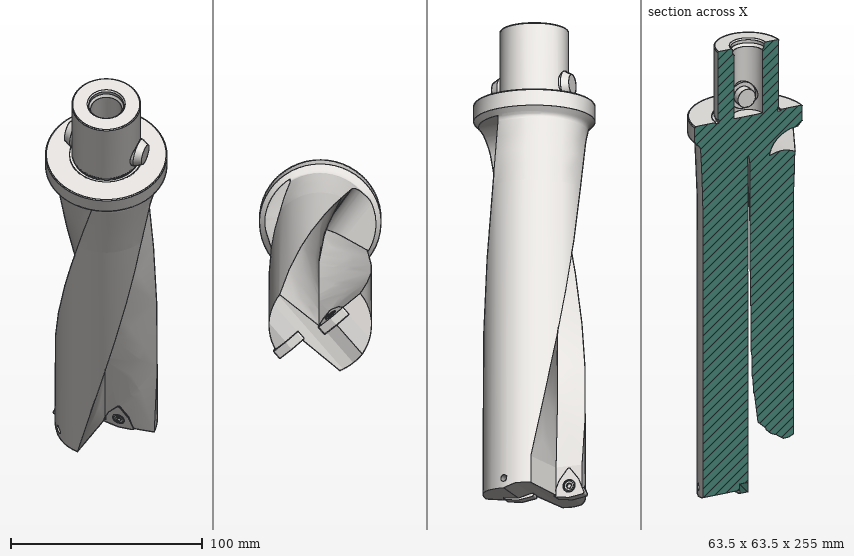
import cadquery as cq
import math

TOTAL_LENGTH = 255
SHANK_LENGTH = 40.0
TIP_Z = SHANK_LENGTH - TOTAL_LENGTH

SHANK_DIAMETER = 36.0
SHANK_RADIUS = SHANK_DIAMETER / 2
SHANK_CHAMFER = 0.5
UNDERCUT_RADIUS = 17.3
UNDERCUT_HEIGHT = 1.0
UNDERCUT_OUTER_RADIUS = 19.0
UNDERCUT_DEPTH = 0.8
FLANGE_DIAMETER = 63.5
FLANGE_RADIUS = FLANGE_DIAMETER / 2
FLANGE_EDGE_CHAMFER = 0.5
FLANGE_RIM_Z = -9.0
FLANGE_BACK_Z = -11.5
FLANGE_BACK_RADIUS = 29.3

NECK_Z = -14.8
NECK_RADIUS = 28
NECK_FILLET_RADIUS = 3.8
CONE_END_Z = -48.0
BODY_RADIUS = 26.8

TIP_LOW_Z = -214.0
TIP_SLOPE_Z = -213.0
TIP_SLOPE_WIDTH = 8.2
TIP_WEB_Z = -212.2
TIP_WEB_WIDTH = 6.5
TIP_SIDE_Z = -213.0
TIP_OUTER_Z = -211.1

BORE_RADIUS = 8.2
BORE_MOUTH_RADIUS = 9.2
BORE_CHAMFER = 0.8
BORE_MOUTH_DEPTH = 2.5
BORE_CONE_DEPTH = 4.0
BORE_BOTTOM_Z = 0

PIN_Z = 9.2
PIN_RADIUS = 7.5
PIN_TIP_RADIUS = 5.4
PIN_CONE_LENGTH = 3.8
PIN_OUTER_X = -21.5
PIN_INNER_X = -0.5
PIN_SCREW_OUTER_X = 22.0
PIN_SCREW_SHOULDER_X = 6.5
PIN_SCREW_INNER_X = 1.8
PIN_SCREW_NOSE_RADIUS = 5

SEAT_TOP_Z = -198.1
FLUTE_TOP_Z = -11.7
FLUTE_STEPS = 8
FLUTE_OVERSIZE = 2.2
FLUTE_RUNOUT_RADIUS = 15.8
CENTRAL_APEX_RADIUS = 0.8
CENTRAL_FLOOR_ANGLE = 360
CENTRAL_FLOOR_TWIST = 0.3451
CENTRAL_WALL_ANGLE = 256.6
CENTRAL_WALL_TWIST = 0.4706
PERIPHERAL_APEX_RADIUS = 12.2
PERIPHERAL_FLOOR_ANGLE = 180
PERIPHERAL_FLOOR_TWIST = 0.5216
PERIPHERAL_WALL_ANGLE = 107.7
PERIPHERAL_WALL_TWIST = 0.4549

INSERT_CORNER_RADIUS = 10.2
INSERT_WAIST_RADIUS = 6.5
INSERT_CORNER_FILLET = 1.0
INSERT_THICKNESS = 5
INSERT_Z = TIP_Z + INSERT_WAIST_RADIUS
CENTRE_INSERT_X = 7.0
PERIPHERAL_INSERT_X = -19.5
SCREW_HEAD_RADIUS = 3.3
SCREW_HEAD_DEPTH = 2.0
SCREW_HEAD_CHAMFER = 0.8
SCREW_RADIUS = 1.8
SCREW_LENGTH = 15.3
SOCKET_RADIUS = 1.5
SOCKET_DEPTH = 1.3
SEATS = [(CENTRE_INSERT_X, 1), (PERIPHERAL_INSERT_X, -1)]


def polar(radius, degrees, z=0):
    angle = math.radians(degrees)
    return cq.Vector(radius * math.cos(angle), radius * math.sin(angle), z)


def make_blank():
    """Shank, flange, neck and body as one turned profile."""
    return (
        cq.Workplane("XZ")
        .moveTo(0, SHANK_LENGTH)
        .lineTo(SHANK_RADIUS - SHANK_CHAMFER, SHANK_LENGTH)
        .lineTo(SHANK_RADIUS, SHANK_LENGTH - SHANK_CHAMFER)
        .lineTo(SHANK_RADIUS, UNDERCUT_HEIGHT)
        .lineTo(UNDERCUT_RADIUS, UNDERCUT_HEIGHT)
        .lineTo(UNDERCUT_RADIUS, -UNDERCUT_DEPTH)
        .lineTo(UNDERCUT_OUTER_RADIUS, -UNDERCUT_DEPTH)
        .lineTo(UNDERCUT_OUTER_RADIUS, 0)
        .lineTo(FLANGE_RADIUS - FLANGE_EDGE_CHAMFER, 0)
        .lineTo(FLANGE_RADIUS, -FLANGE_EDGE_CHAMFER)
        .lineTo(FLANGE_RADIUS, FLANGE_RIM_Z)
        .lineTo(FLANGE_BACK_RADIUS, FLANGE_BACK_Z)
        .radiusArc((NECK_RADIUS, NECK_Z), -NECK_FILLET_RADIUS)
        .lineTo(BODY_RADIUS, CONE_END_Z)
        .lineTo(BODY_RADIUS, TIP_Z)
        .lineTo(0, TIP_Z)
        .close()
        .revolve(360, (0, 0, 0), (0, 1, 0))
    )


def make_bore():
    """Stepped bore in the shank end."""
    top = SHANK_LENGTH
    return (
        cq.Workplane("XZ")
        .moveTo(0, top)
        .lineTo(BORE_MOUTH_RADIUS + BORE_CHAMFER, top)
        .lineTo(BORE_MOUTH_RADIUS, top - BORE_CHAMFER)
        .lineTo(BORE_MOUTH_RADIUS, top - BORE_MOUTH_DEPTH)
        .lineTo(BORE_RADIUS, top - BORE_CONE_DEPTH)
        .lineTo(BORE_RADIUS, BORE_BOTTOM_Z)
        .lineTo(0, BORE_BOTTOM_Z)
        .close()
        .revolve(360, (0, 0, 0), (0, 1, 0))
    )


def make_tip_relief():
    """Material removed below the tip: the end dips towards each insert."""
    outline = [
        (-BODY_RADIUS, TIP_SIDE_Z),
        (PERIPHERAL_INSERT_X, TIP_LOW_Z),
        (PERIPHERAL_INSERT_X + TIP_SLOPE_WIDTH, TIP_SLOPE_Z),
        (-TIP_WEB_WIDTH, TIP_WEB_Z),
        (0, TIP_WEB_Z),
        (CENTRE_INSERT_X, TIP_LOW_Z),
        (CENTRE_INSERT_X + TIP_SLOPE_WIDTH, TIP_SLOPE_Z),
        (BODY_RADIUS, TIP_OUTER_Z),
        (BODY_RADIUS, TIP_Z),
        (-BODY_RADIUS, TIP_Z),
    ]
    return cq.Workplane("XZ").polyline(outline).close().extrude(BODY_RADIUS, both=True)


def make_flute(start_z, apex_radius, apex_turn, floor, wall):
    """Twisted wedge between a floor and a wall that meet at the apex.

    Floor and wall are each given as the angle of their edge on the body at
    start_z and the twist of that edge in degrees per unit of height.
    """
    floor_angle, floor_twist = floor
    wall_angle, wall_twist = wall

    def wedge(z):
        rise = z - start_z
        floor_now = floor_angle + floor_twist * rise
        apex = polar(apex_radius, floor_now + apex_turn, z)
        floor_edge = polar(BODY_RADIUS, floor_now, z)
        wall_edge = polar(BODY_RADIUS, wall_angle + wall_twist * rise, z)
        outer_corners = [apex + (edge - apex) * FLUTE_OVERSIZE for edge in (floor_edge, wall_edge)]
        return cq.Wire.makePolygon([apex, *outer_corners], close=True)

    height = FLUTE_TOP_Z - start_z
    sections = [wedge(start_z + height * i / FLUTE_STEPS) for i in range(FLUTE_STEPS + 1)]
    flute = cq.Workplane(cq.Solid.makeLoft(sections))
    wall_top = polar(BODY_RADIUS, wall_angle + wall_twist * height, FLUTE_TOP_Z)
    return flute.edges(cq.NearestToPointSelector(wall_top.toTuple())).fillet(FLUTE_RUNOUT_RADIUS)


def make_central_flute():
    """Flute that reaches the axis and twists all the way to the tip."""
    return make_flute(
        TIP_Z,
        CENTRAL_APEX_RADIUS,
        180,
        (CENTRAL_FLOOR_ANGLE, CENTRAL_FLOOR_TWIST),
        (CENTRAL_WALL_ANGLE, CENTRAL_WALL_TWIST),
    )


def make_peripheral_flute():
    """Shallower flute that twists above a straight seat for its insert."""
    twisted = make_flute(
        SEAT_TOP_Z,
        PERIPHERAL_APEX_RADIUS,
        0,
        (PERIPHERAL_FLOOR_ANGLE, PERIPHERAL_FLOOR_TWIST),
        (PERIPHERAL_WALL_ANGLE, PERIPHERAL_WALL_TWIST),
    )
    seat = twisted.faces("<Z").wires().toPending().workplane().extrude(SEAT_TOP_Z - TIP_Z, combine=False)
    return twisted, seat


def seat_plane(x, direction):
    """Plane on the flute floor at an insert centre, its normal into the body."""
    return cq.Plane(origin=(x, 0, INSERT_Z), xDir=(1, 0, 0), normal=(0, direction, 0))


def make_insert_blank(x, direction):
    """Trigon plate with one corner pointing up the drill."""
    plane = seat_plane(x, direction)
    corners = []
    points = []
    for i in range(3):
        corner = polar(INSERT_CORNER_RADIUS, -90 * direction + 120 * i)
        waist = polar(INSERT_WAIST_RADIUS, -90 * direction + 120 * i + 60)
        corners.append(corner)
        points += [(corner.x, corner.y), (waist.x, waist.y)]
    plate = cq.Workplane(plane).polyline(points).close().extrude(INSERT_THICKNESS)
    for corner in corners:
        corner_point = plane.toWorldCoords(corner.toTuple()).toTuple()
        corner_edge = plate.edges("|Y").edges(cq.NearestToPointSelector(corner_point))
        plate = corner_edge.fillet(INSERT_CORNER_FILLET)
    return plate


def make_screw_blank(x, direction, length):
    """Screw without its socket; a longer one also serves as the hole for it."""
    plane = seat_plane(x, direction)
    head = cq.Workplane(plane).circle(SCREW_HEAD_RADIUS).extrude(SCREW_HEAD_DEPTH)
    return head.union(cq.Workplane(plane).circle(SCREW_RADIUS).extrude(length))


def make_insert(x, direction):
    return make_insert_blank(x, direction).cut(make_screw_blank(x, direction, SCREW_LENGTH))


def make_insert_screw(x, direction):
    socket = cq.Workplane(seat_plane(x, direction)).polygon(6, 2 * SOCKET_RADIUS).extrude(SOCKET_DEPTH)
    screw = make_screw_blank(x, direction, SCREW_LENGTH)
    head_rim = screw.edges(cq.NearestToPointSelector((x, 0, INSERT_Z)))
    return head_rim.chamfer(SCREW_HEAD_CHAMFER).cut(socket)


def turned_plug(inner_x, outer_x):
    """Cylinder along X with a conical outer end."""
    cone_start_x = outer_x - math.copysign(PIN_CONE_LENGTH, outer_x)
    return (
        cq.Workplane("XY", origin=(0, 0, PIN_Z))
        .moveTo(inner_x, 0)
        .lineTo(inner_x, PIN_RADIUS)
        .lineTo(cone_start_x, PIN_RADIUS)
        .lineTo(outer_x, PIN_TIP_RADIUS)
        .lineTo(outer_x, 0)
        .close()
        .revolve(360, (0, 0, 0), (1, 0, 0))
    )


def make_pin():
    return turned_plug(PIN_INNER_X, PIN_OUTER_X)


def make_pin_screw():
    """Counterpart of the pin with a slimmer nose inside the bore."""
    nose_length = PIN_SCREW_SHOULDER_X - PIN_SCREW_INNER_X
    nose_plane = cq.Workplane("YZ", origin=(PIN_SCREW_INNER_X, 0, PIN_Z))
    nose = nose_plane.circle(PIN_SCREW_NOSE_RADIUS).extrude(nose_length)
    return turned_plug(PIN_SCREW_SHOULDER_X, PIN_SCREW_OUTER_X).union(nose)


def make_pin_hole():
    """Hole straight across the shank."""
    return cq.Workplane("YZ").center(0, PIN_Z).circle(PIN_RADIUS).extrude(SHANK_RADIUS, both=True)


def make_drill_body():
    body = make_blank().cut(make_bore()).cut(make_tip_relief()).cut(make_pin_hole())
    for flute in (make_central_flute(), *make_peripheral_flute()):
        body = body.cut(flute)
    for x, direction in SEATS:
        body = body.cut(make_insert_blank(x, direction))
        body = body.cut(make_screw_blank(x, direction, BODY_RADIUS))
    return body


drill_body = make_drill_body()
inserts = [make_insert(x, direction) for x, direction in SEATS]
insert_screws = [make_insert_screw(x, direction) for x, direction in SEATS]
pin = make_pin()
pin_screw = make_pin_screw()

result = cq.Compound.makeCompound(
    [
        *drill_body.solids().vals(),
        *[insert.val() for insert in inserts],
        *[screw.val() for screw in insert_screws],
        pin.val(),
        pin_screw.val(),
    ]
)